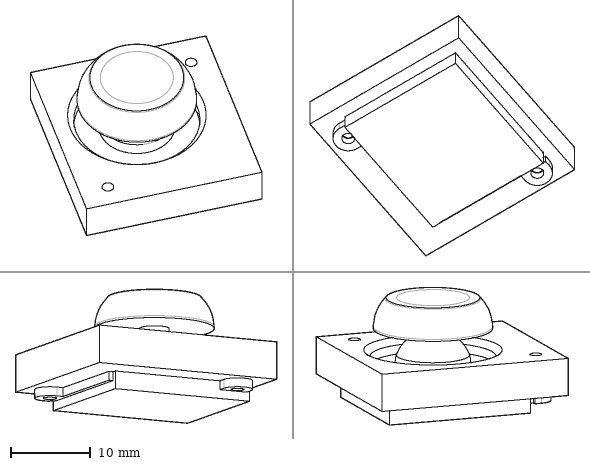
import cadquery as cq

COVER_BOTTOM = 2.25
FLOOR_Z = 5.02
COVER_TOP = 7.02
NECK_Z = 9.05
CAP_BOTTOM = 9.8
CAP_FLAT = 13.72
TOTAL_HEIGHT = 14.3

COVER_X = 25.0
COVER_Y = 22.9
OPENING_RIM_D = 17.35
OPENING_D = 15.8
OPENING_CONE_DEPTH = 0.85
COVER_HOLE_D = 1.45

MODULE_X0 = 1.65
MODULE_Y0 = 1.68
MODULE_X = 18.92
MODULE_Y = 17.0
FLANGE_WIDTH = 0.6
FLANGE_INSET = 0.6
EAR_THICKNESS = 1.12
EAR_RADIUS = 1.9
EAR_HOLE_D = 1.6
STICK_CENTER = (10.95, 10.68)
RIGHT_SCREW = (22.05, 3.65)
LEFT_SCREW = (3.95, 19.8)

BASE_R = 4.78
DOME_EDGE_R = 4.6
DOME_EDGE_Z = 6.4
BASE_MID_R = 4.72
BASE_MID_Z = 5.7
DOME_MID_R = 3.55
DOME_MID_Z = 8.0
NECK_R = 3.7 / 2
CAP_R = 7.5
CAP_RIM_HEIGHT = 0.25
CAP_SIDE_MID_R = 7.05
CAP_SIDE_MID_Z = 12.0
CAP_TOP_R = 6.0
CAP_BEVEL = 0.12
CROWN_R = 4.58
CROWN_RISE = TOTAL_HEIGHT - CAP_FLAT
CROWN_SPHERE_R = (CROWN_R**2 + CROWN_RISE**2) / (2 * CROWN_RISE)
CROWN_MID_R = CROWN_R / 2
CROWN_MID_Z = TOTAL_HEIGHT - CROWN_SPHERE_R + (CROWN_SPHERE_R**2 - CROWN_MID_R**2) ** 0.5


def box(x0, y0, z0, x, y, z):
    """Box placed by its lowest corner."""
    return cq.Workplane("XY").box(x, y, z, centered=False).translate((x0, y0, z0))


def cylinder(center, diameter, z0, z1):
    return cq.Workplane("XY", origin=(*center, z0)).circle(diameter / 2).extrude(z1 - z0)


def make_opening():
    """Round opening of the cover, flared at the top."""
    cone_bottom = COVER_TOP - OPENING_CONE_DEPTH
    profile = (
        cq.Workplane("XZ")
        .moveTo(0, FLOOR_Z)
        .lineTo(OPENING_D / 2, FLOOR_Z)
        .lineTo(OPENING_D / 2, cone_bottom)
        .lineTo(OPENING_RIM_D / 2, COVER_TOP)
        .lineTo(0, COVER_TOP)
        .close()
    )
    return profile.revolve(360, (0, 0), (0, 1)).translate((*STICK_CENTER, 0))


def make_cover():
    """Plate with a recess for the module below and the stick opening above."""
    cover = box(0, 0, COVER_BOTTOM, COVER_X, COVER_Y, COVER_TOP - COVER_BOTTOM)
    recess = box(MODULE_X0, MODULE_Y0, COVER_BOTTOM, MODULE_X, MODULE_Y, FLOOR_Z - COVER_BOTTOM)
    cover = cover.cut(recess).cut(make_opening())
    for screw in (RIGHT_SCREW, LEFT_SCREW):
        cover = cover.cut(cylinder(screw, COVER_HOLE_D, COVER_BOTTOM, COVER_TOP))
    return cover


def make_stick():
    """Domed base, neck and thumb cap."""
    profile = (
        cq.Workplane("XZ")
        .moveTo(0, FLOOR_Z)
        .lineTo(BASE_R, FLOOR_Z)
        .threePointArc((BASE_MID_R, BASE_MID_Z), (DOME_EDGE_R, DOME_EDGE_Z))
        .threePointArc((DOME_MID_R, DOME_MID_Z), (NECK_R, NECK_Z))
        .lineTo(NECK_R, CAP_BOTTOM)
        .lineTo(CAP_R, CAP_BOTTOM)
        .lineTo(CAP_R, CAP_BOTTOM + CAP_RIM_HEIGHT)
        .threePointArc((CAP_SIDE_MID_R, CAP_SIDE_MID_Z), (CAP_TOP_R, CAP_FLAT - CAP_BEVEL))
        .lineTo(CAP_TOP_R - CAP_BEVEL, CAP_FLAT)
        .lineTo(CROWN_R, CAP_FLAT)
        .threePointArc((CROWN_MID_R, CROWN_MID_Z), (0, TOTAL_HEIGHT))
        .close()
    )
    return profile.revolve(360, (0, 0), (0, 1)).translate((*STICK_CENTER, 0))


def make_mounting_ears():
    """Two rounded screw ears and the narrow flange on the +X side."""
    ear_bottom = COVER_BOTTOM - EAR_THICKNESS
    module_x1 = MODULE_X0 + MODULE_X
    module_y1 = MODULE_Y0 + MODULE_Y
    flange_y = MODULE_Y0 + FLANGE_INSET
    flange_length = MODULE_Y - 2 * FLANGE_INSET
    ears = box(module_x1, flange_y, ear_bottom, FLANGE_WIDTH, flange_length, EAR_THICKNESS)

    right_x, right_y = RIGHT_SCREW
    web_x = module_x1 + FLANGE_WIDTH
    right_web = box(
        web_x, right_y - EAR_RADIUS, ear_bottom, right_x - web_x, 2 * EAR_RADIUS, EAR_THICKNESS
    )
    left_x, left_y = LEFT_SCREW
    left_web = box(
        left_x - EAR_RADIUS, module_y1, ear_bottom, 2 * EAR_RADIUS, left_y - module_y1, EAR_THICKNESS
    )
    ears = ears.union(right_web).union(left_web)
    for screw in (RIGHT_SCREW, LEFT_SCREW):
        ears = ears.union(cylinder(screw, 2 * EAR_RADIUS, ear_bottom, COVER_BOTTOM))
    inner_side = box(
        module_x1, MODULE_Y0, ear_bottom, FLANGE_WIDTH, FLANGE_INSET, EAR_THICKNESS
    )
    ears = ears.cut(inner_side)
    return ears


def make_module():
    """Joystick housing block with its mounting ears and stick."""
    module = box(MODULE_X0, MODULE_Y0, 0, MODULE_X, MODULE_Y, FLOOR_Z)
    module = module.union(make_mounting_ears())
    for screw in (RIGHT_SCREW, LEFT_SCREW):
        module = module.cut(cylinder(screw, EAR_HOLE_D, 0, COVER_BOTTOM))
    return module.union(make_stick())


cover = make_cover()
joystick_module = make_module()

result = cq.Compound.makeCompound([cover.val(), *joystick_module.vals()])